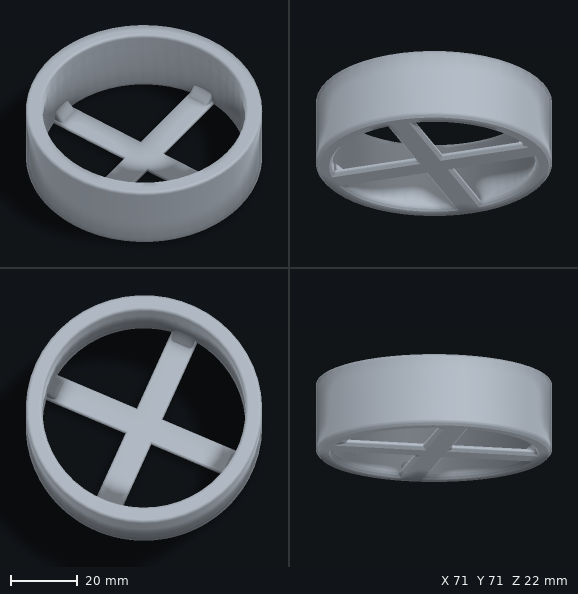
import cadquery as cq

outer_diameter = 71.0
inner_diameter = 61.0
height = 22.0
rim_fillet = 1.0
base_chamfer = 1.0
ring_base_blend = 1.2

spoke_width = 8.45
spoke_thickness = 2.0
spoke_edge_fillet = 0.7
spoke_base_blend = 0.6

gusset_size = 3.0
gusset_edge_fillet = 1.0
gusset_width = spoke_width - 2 * spoke_edge_fillet

outer_radius = outer_diameter / 2
inner_radius = inner_diameter / 2
anchor_radius = (outer_radius + inner_radius) / 2


def soften_base(body, base_edges, blend_radius):
    """Chamfer the chosen bottom edges, then blend each chamfer into the wall above it."""
    body = body.faces("<Z").edges(base_edges).chamfer(base_chamfer)
    chamfer_top = cq.selectors.BoxSelector(
        (-outer_diameter, -outer_diameter, base_chamfer / 2),
        (outer_diameter, outer_diameter, base_chamfer * 1.2),
        boundingbox=True,
    )
    return body.edges(chamfer_top).fillet(blend_radius)


def make_ring():
    """Ring with rounded top rims and softened base edges."""
    ring = cq.Workplane("XY").circle(outer_radius).circle(inner_radius).extrude(height)
    ring = ring.faces(">Z").edges().fillet(rim_fillet)
    return soften_base(ring, "%CIRCLE", ring_base_blend)


def make_spoke():
    """Bar along X spanning the ring, with softened long edges."""
    spoke = cq.Workplane("XY").rect(2 * anchor_radius, spoke_width).extrude(spoke_thickness)
    spoke = spoke.faces(">Z").edges("|X").fillet(spoke_edge_fillet)
    return soften_base(spoke, "|X", spoke_base_blend)


def make_gusset():
    """45 degree gusset at the +X end of a spoke, with rounded sloping edges."""
    toe_radius = inner_radius - gusset_size
    anchor_height = spoke_thickness + anchor_radius - toe_radius
    gusset = (
        cq.Workplane("XZ")
        .moveTo(toe_radius, spoke_thickness)
        .lineTo(anchor_radius, anchor_height)
        .lineTo(anchor_radius, spoke_thickness)
        .close()
        .extrude(gusset_width / 2, both=True)
    )
    sloping_edges = "not(|X or |Y or |Z)"
    return gusset.edges(sloping_edges).fillet(gusset_edge_fillet)


spoke = make_spoke()
gusset = make_gusset()

result = make_ring().union(spoke).union(spoke.rotate((0, 0, 0), (0, 0, 1), 90))
for angle in range(0, 360, 90):
    result = result.union(gusset.rotate((0, 0, 0), (0, 0, 1), angle))